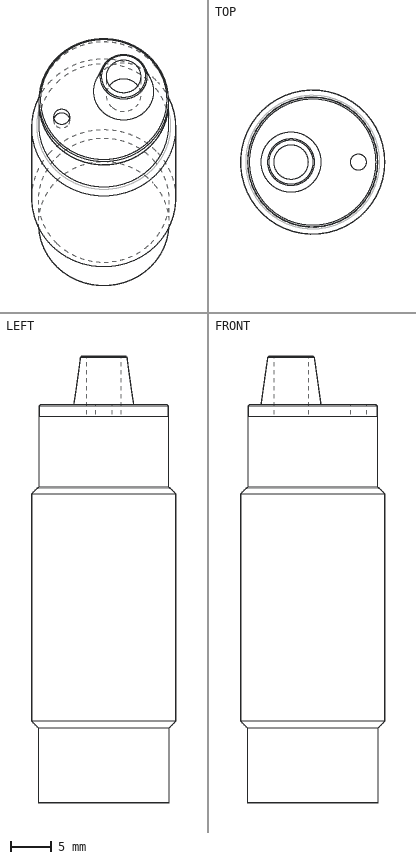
import cadquery as cq
overall_height = 55.7
nozzle_height = 6.0
cap_top = overall_height - nozzle_height
lower_core_diameter = 16.3
upper_core_diameter = 16.2

cap_diameter = 16.15
cap_thickness = 1.5
cap_edge_chamfer = 0.2
cap_bottom = cap_top - cap_thickness

sleeve_diameter = 18.0
sleeve_bottom = 9.35
sleeve_top = 39.4
sleeve_chamfer = 0.65
sleeve_bevel_height = 0.2

nozzle_x = -2.7
nozzle_base_diameter = 7.5
nozzle_tip_diameter = 5.8
nozzle_bore_diameter = 4.3
nozzle_tip_chamfer = 0.15

vent_x = 5.7
vent_diameter = 2.0


def cylinder(diameter, bottom, top, x=0.0):
    """Upright cylinder between two heights, centred at (x, 0)."""
    return cq.Workplane("XY", origin=(x, 0, bottom)).circle(diameter / 2).extrude(top - bottom)


def make_core():
    lower_core = cylinder(lower_core_diameter, 0, sleeve_bottom)
    upper_core = cylinder(upper_core_diameter, sleeve_bottom, cap_bottom)
    return lower_core.union(upper_core)


def make_cap():
    return cylinder(cap_diameter, cap_bottom, cap_top).faces(">Z").chamfer(cap_edge_chamfer)


def make_sleeve():
    """Revolved sleeve, solid to the axis, narrowing at each end to meet the core."""
    radius = sleeve_diameter / 2
    bevel_radius = radius - sleeve_chamfer
    lower_bevel_z = sleeve_bottom + sleeve_bevel_height
    upper_bevel_z = sleeve_top - sleeve_bevel_height
    outline = [
        (0, sleeve_bottom),
        (lower_core_diameter / 2, sleeve_bottom),
        (bevel_radius, lower_bevel_z),
        (radius, lower_bevel_z + sleeve_chamfer),
        (radius, upper_bevel_z - sleeve_chamfer),
        (bevel_radius, upper_bevel_z),
        (upper_core_diameter / 2, sleeve_top),
        (0, sleeve_top),
    ]
    return cq.Workplane("XZ").polyline(outline).close().revolve(360, (0, 0), (0, 1))


def make_nozzle():
    nozzle = (
        cq.Workplane("XY", origin=(nozzle_x, 0, cap_top))
        .circle(nozzle_base_diameter / 2)
        .workplane(offset=nozzle_height)
        .circle(nozzle_tip_diameter / 2)
        .loft()
    )
    return nozzle.faces(">Z").chamfer(nozzle_tip_chamfer)


nozzle_bore = cylinder(nozzle_bore_diameter, cap_bottom, overall_height, nozzle_x)
vent_hole = cylinder(vent_diameter, cap_bottom, cap_top, vent_x)

result = make_core().union(make_cap()).union(make_sleeve()).union(make_nozzle())
result = result.cut(nozzle_bore).cut(vent_hole)